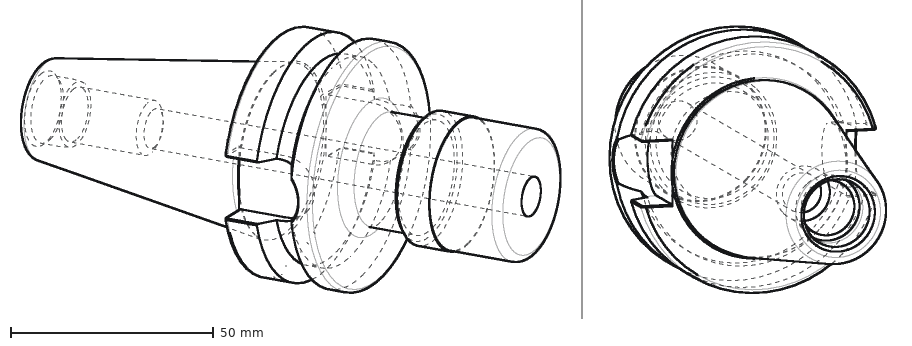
import cadquery as cq
import math


gauge_diameter = 44.45
taper_length = 65.4
taper_ratio = 7 / 24
shank_end_fillet = 2.0

flange_diameter = 63.0
flange_start = 2.0
flange_end = 27.0
rim_fillet = 1.0
shank_root_fillet = 0.5

groove_diameter = 53.2
groove_middle = 16.3
groove_floor_width = 4.4
groove_flank_angle = 60.0

neck_diameter = 29.0
neck_fillet = 3.0
collar_diameter = 34.0
collar_start = 42.5
collar_end = 52.5
collar_chamfer = 1.0
nose_diameter = 33.5
nose_end = 72.0
nose_fillet = 2.0

keyway_width = 16.1
keyway_floor = 22.5
keyway_end = 23.3
keyway_edge_chamfer = 0.35

through_diameter = 10.0
thread_diameter = 13.84
thread_depth = 30.0
drill_point_angle = 118.0
pilot_diameter = 16.5
pilot_start_depth = 8.2
pilot_end_depth = 9.0
counterbore_diameter = 17.0
counterbore_depth = 7.0
countersink_diameter = 19.0
countersink_depth = 1.2


def cylinder(diameter, start, end):
    """Solid cylinder along X between two stations."""
    return cq.Workplane("YZ", origin=(start, 0, 0)).circle(diameter / 2).extrude(end - start)


def make_shank():
    """Tapered shank with a rounded small end and a short land filleted into the flange."""
    end_diameter = gauge_diameter - taper_ratio * taper_length
    fillet_middle = shank_root_fillet * (1 - math.sqrt(0.5))
    profile = (
        cq.Workplane("XY")
        .moveTo(-taper_length, 0)
        .lineTo(-taper_length, end_diameter / 2)
        .lineTo(0, gauge_diameter / 2)
        .lineTo(flange_start - shank_root_fillet, gauge_diameter / 2)
        .threePointArc(
            (flange_start - fillet_middle, gauge_diameter / 2 + fillet_middle),
            (flange_start, gauge_diameter / 2 + shank_root_fillet),
        )
        .lineTo(flange_start, 0)
        .close()
    )
    shank = profile.revolve(360, (0, 0, 0), (1, 0, 0))
    return shank.faces("<X").edges().fillet(shank_end_fillet)


def make_flange():
    """Rounded disc with a V-groove around its rim."""
    disc = cylinder(flange_diameter, flange_start, flange_end)
    disc = disc.faces("<X or >X").edges().fillet(rim_fillet)
    groove_depth = (flange_diameter - groove_diameter) / 2
    floor_half = groove_floor_width / 2
    mouth_half = floor_half + groove_depth / math.tan(math.radians(groove_flank_angle))
    groove = (
        cq.Workplane("XY")
        .moveTo(groove_middle - mouth_half, flange_diameter / 2)
        .lineTo(groove_middle - floor_half, groove_diameter / 2)
        .lineTo(groove_middle + floor_half, groove_diameter / 2)
        .lineTo(groove_middle + mouth_half, flange_diameter / 2)
        .close()
        .revolve(360, (0, 0, 0), (1, 0, 0))
    )
    return disc.cut(groove)


def make_nose():
    """Chamfered collar followed by the slightly smaller rounded nose."""
    collar = cylinder(collar_diameter, collar_start, collar_end)
    collar = collar.faces("<X").edges().chamfer(collar_chamfer)
    nose = cylinder(nose_diameter, collar_end, nose_end)
    nose = nose.faces(">X").edges().fillet(nose_fillet)
    return collar.union(nose)


def make_neck():
    """Neck with a concave fillet at the flange."""
    root_radius = neck_diameter / 2 + neck_fillet
    fillet_middle = neck_fillet * (1 - math.sqrt(0.5))
    profile = (
        cq.Workplane("XY")
        .moveTo(flange_end, 0)
        .lineTo(flange_end, root_radius)
        .threePointArc(
            (flange_end + fillet_middle, neck_diameter / 2 + fillet_middle),
            (flange_end + neck_fillet, neck_diameter / 2),
        )
        .lineTo(collar_start, neck_diameter / 2)
        .lineTo(collar_start, 0)
        .close()
    )
    return profile.revolve(360, (0, 0, 0), (1, 0, 0))


def make_keyway():
    """Round-ended slot on the +Y side, open towards the shank."""
    end_radius = keyway_width / 2
    arc_centre = keyway_end - end_radius
    return (
        cq.Workplane("XZ", origin=(0, keyway_floor, 0))
        .moveTo(0, -end_radius)
        .lineTo(arc_centre, -end_radius)
        .threePointArc((keyway_end, 0), (arc_centre, end_radius))
        .lineTo(0, end_radius)
        .close()
        .extrude(-(flange_diameter / 2 - keyway_floor))
    )


def make_bore():
    """Stepped bore: countersink, counterbore, pilot, thread hole with drill point, through hole."""
    point_length = (thread_diameter - through_diameter) / 2 / math.tan(math.radians(drill_point_angle / 2))
    shank_end = -taper_length
    profile = (
        cq.Workplane("XY")
        .moveTo(shank_end, 0)
        .lineTo(shank_end, countersink_diameter / 2)
        .lineTo(shank_end + countersink_depth, counterbore_diameter / 2)
        .lineTo(shank_end + counterbore_depth, counterbore_diameter / 2)
        .lineTo(shank_end + pilot_start_depth, pilot_diameter / 2)
        .lineTo(shank_end + pilot_end_depth, pilot_diameter / 2)
        .lineTo(shank_end + pilot_end_depth, thread_diameter / 2)
        .lineTo(shank_end + thread_depth, thread_diameter / 2)
        .lineTo(shank_end + thread_depth + point_length, through_diameter / 2)
        .lineTo(nose_end, through_diameter / 2)
        .lineTo(nose_end, 0)
        .close()
    )
    return profile.revolve(360, (0, 0, 0), (1, 0, 0))


def chamfer_keyway(flange, side):
    """Break the edges of one keyway at the shank face, along the rim and at its round end."""
    half_width = keyway_width / 2
    rim_radius = flange_diameter / 2
    end_edges = cq.selectors.BoxSelector(
        (keyway_end - half_width / 4, side * (rim_radius - rim_fillet), -half_width),
        (keyway_end, side * (rim_radius + rim_fillet), half_width),
    )
    flange = flange.edges(end_edges).chamfer(keyway_edge_chamfer)
    face_edges = cq.selectors.BoxSelector(
        (flange_start - rim_fillet / 2, side * keyway_floor, -rim_radius),
        (flange_start + rim_fillet / 2, side * rim_radius, rim_radius),
    )
    return flange.edges("|Y").edges(face_edges).chamfer(keyway_edge_chamfer)


def make_slotted_flange():
    """Flange with a keyway on the +Y side and another on the -Y side."""
    keyway = make_keyway()
    flange = make_flange().cut(keyway).cut(keyway.mirror("XZ"))
    for side in (1, -1):
        flange = chamfer_keyway(flange, side)
    return flange


body = make_slotted_flange().union(make_shank()).union(make_neck()).union(make_nose())
result = body.cut(make_bore())